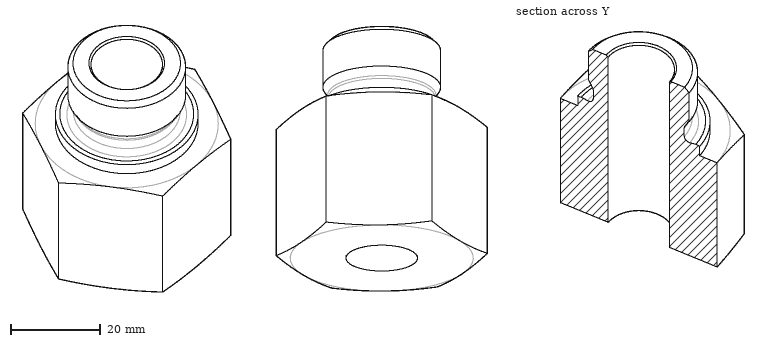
import cadquery as cq
import math

across_flats = 41.0
hex_height = 32.0
hex_chamfer_angle = 15.0
hex_corner_radius = across_flats / math.sqrt(3)

collar_diameter = 32.0
collar_rim_diameter = 30.0
collar_top = 35.0
collar_slope = 10.0

total_height = 51.0
spigot_diameter = 26.4
spigot_bottom = 41.0
spigot_chamfer = 1.15
neck_diameter = 23.9
neck_cone_angle = 30.0
neck_fillet = 1.2

bore_diameter = 16.0
bore_chamfer = 0.45


def make_hexagon():
    """Hexagonal prism with both ends chamfered by a cone touching the flats."""
    prism = (
        cq.Workplane("XY")
        .polygon(6, 2 * hex_corner_radius)
        .extrude(hex_height)
        .rotate((0, 0, 0), (0, 0, 1), 30)
    )
    end_radius = across_flats / 2
    chamfer_drop = (hex_corner_radius - end_radius) * math.tan(math.radians(hex_chamfer_angle))
    overshoot = 0.5
    drop_overshoot = overshoot * math.tan(math.radians(hex_chamfer_angle))
    outer_radius = hex_corner_radius + overshoot
    cone_drop = chamfer_drop + drop_overshoot
    envelope = (
        cq.Workplane("XZ")
        .moveTo(0, 0)
        .lineTo(end_radius, 0)
        .lineTo(outer_radius, cone_drop)
        .lineTo(outer_radius, hex_height - cone_drop)
        .lineTo(end_radius, hex_height)
        .lineTo(0, hex_height)
        .close()
        .revolve(360, (0, 0, 0), (0, 1, 0))
    )
    return prism.intersect(envelope)


def make_spigot():
    """Collar, undercut neck and chamfered spigot as one turned profile."""
    collar_radius = collar_diameter / 2
    neck_radius = neck_diameter / 2
    spigot_radius = spigot_diameter / 2
    rim_radius = collar_rim_diameter / 2
    slope = math.tan(math.radians(collar_slope))
    collar_edge_height = collar_top - (collar_radius - rim_radius) * slope
    neck_bottom = collar_top - (rim_radius - neck_radius) * slope
    neck_top = spigot_bottom - (spigot_radius - neck_radius) / math.tan(math.radians(neck_cone_angle))
    turned = (
        cq.Workplane("XZ")
        .moveTo(0, hex_height)
        .lineTo(collar_radius, hex_height)
        .lineTo(collar_radius, collar_edge_height)
        .lineTo(rim_radius, collar_top)
        .lineTo(neck_radius, neck_bottom)
        .lineTo(neck_radius, neck_top)
        .lineTo(spigot_radius, spigot_bottom)
        .lineTo(spigot_radius, total_height - spigot_chamfer)
        .lineTo(spigot_radius - spigot_chamfer, total_height)
        .lineTo(0, total_height)
        .close()
        .revolve(360, (0, 0, 0), (0, 1, 0))
    )
    return turned.edges(cq.selectors.RadiusNthSelector(0)).fillet(neck_fillet)


def make_bore():
    """Through bore with a chamfered mouth at the spigot end."""
    bore_radius = bore_diameter / 2
    return (
        cq.Workplane("XZ")
        .moveTo(0, 0)
        .lineTo(bore_radius, 0)
        .lineTo(bore_radius, total_height - bore_chamfer)
        .lineTo(bore_radius + bore_chamfer, total_height)
        .lineTo(0, total_height)
        .close()
        .revolve(360, (0, 0, 0), (0, 1, 0))
    )


result = make_hexagon().union(make_spigot()).cut(make_bore())